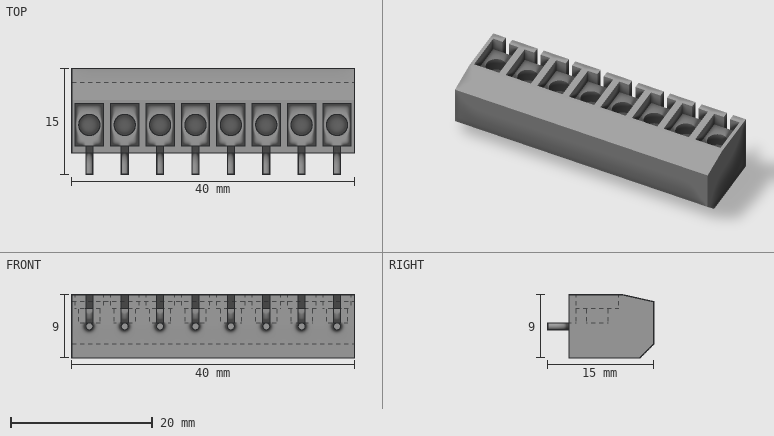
import cadquery as cq

pole_count = 8
pitch = 5.0
length = pole_count * pitch
depth = 12.0
height = 9.0

slope_run = 4.5
slope_drop = 1.0
bevel = 2.0

pocket_width = 4.0
front_wall = 1.0
pocket_length = 6.0
pocket_depth = 2.0
pocket_floor = height - pocket_depth
pocket_center_y = front_wall + pocket_length / 2

screw_hole_diameter = 3.0
screw_hole_depth = 2.0

pin_diameter = 1.0
pin_length = 3.0
slot_width = pin_diameter
slot_depth = 4.0
slot_floor = height - slot_depth
pin_z = slot_floor - pin_diameter / 2

pole_positions = [(i - (pole_count - 1) / 2) * pitch for i in range(pole_count)]


def make_housing():
    """Constant side profile, extruded along X."""
    profile = [
        (0, 0),
        (depth - bevel, 0),
        (depth, bevel),
        (depth, height - slope_drop),
        (depth - slope_run, height),
        (0, height),
    ]
    start = cq.Workplane("YZ").workplane(offset=-length / 2)
    return start.polyline(profile).close().extrude(length)


def make_pole_cutter(x):
    """Pocket, screw hole and front slot of one pole."""
    rising_from_floor = (True, True, False)
    pocket = (
        cq.Workplane("XY", origin=(x, pocket_center_y, pocket_floor))
        .box(pocket_width, pocket_length, pocket_depth, centered=rising_from_floor)
    )
    hole = (
        cq.Workplane("XY", origin=(x, pocket_center_y, pocket_floor))
        .circle(screw_hole_diameter / 2)
        .extrude(-screw_hole_depth)
    )
    slot = (
        cq.Workplane("XY", origin=(x, front_wall / 2, slot_floor))
        .box(slot_width, front_wall, slot_depth, centered=rising_from_floor)
    )
    return pocket.union(hole).union(slot)


def make_pin(x):
    """Round pin, rooted in the front wall and standing out toward -Y."""
    return (
        cq.Workplane("XZ", origin=(x, front_wall, pin_z))
        .circle(pin_diameter / 2)
        .extrude(front_wall + pin_length)
    )


result = make_housing()
for pole_x in pole_positions:
    result = result.cut(make_pole_cutter(pole_x))
    result = result.union(make_pin(pole_x))